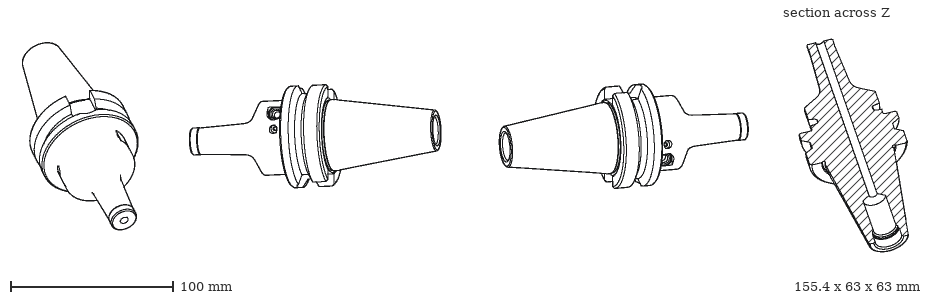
import cadquery as cq
import math

total_length = 155.4

taper_slope = 7 / 48
taper_length = 65.1
taper_big_radius = 22.15
taper_small_radius = taper_big_radius - taper_length * taper_slope
taper_end_chamfer = 0.6
undercut_start = 66.0
undercut_radius = 43.5 / 2
undercut_run = 0.5

flange_radius = 63.0 / 2
flange_front = 67.1
flange_back = 92.3
flange_front_chamfer = 1.2
flange_back_chamfer = 1.0
groove_start = 76.8
groove_end = 86.5
groove_radius = 26.5
groove_wall_angle = 30.0
groove_wall_run = (flange_radius - groove_radius) * math.tan(math.radians(groove_wall_angle))
face_recess_radius = 24.0
face_recess_depth = 0.5
face_recess_flare = 0.6

slot_width = 16.0
slot_end = 88.5
slot_floor = 22.7

body_radius = 45.8 / 2
body_root_fillet = 1.0
body_end = 110.0
body_edge_fillet = 1.0
shoulder_angle = 60.0
shank_start_radius = 10.0
shoulder_run = (body_radius - shank_start_radius) / math.tan(math.radians(shoulder_angle))
shank_start = body_end + shoulder_run
shoulder_fillet = 8.1
nose_start = 150.1
nose_radius = 8.4
shank_end_radius = 8.2
nose_step = 0.5
nose_chamfer = 0.8

mouth_radius = 9.5
entry_radius = 17.0 / 2
entry_depth = 7.0
thread_radius = 16.0 / 2
thread_start = 8.5
thread_chamfer = 1.0
thread_end = 32.6
core_radius = 14.3 / 2
channel_radius = 5.0 / 2
drill_point_half_angle = 59.0
drill_point_run = (core_radius - channel_radius) / math.tan(math.radians(drill_point_half_angle))

side_x = 98.2
pocket_width = 9.6
pocket_z = -12.0
pocket_floor = 16.2
seat_radius = 9.0 / 2
seat_bottom_radius = 8.4 / 2
seat_depth = 0.6
socket_rim_radius = 3.3
socket_rim_depth = 0.8
socket_radius = 2.5
socket_bottom_radius = 2.0
socket_depth = 3.1
socket_tip_depth = 1.2
side_hole_z = -1.0
side_hole_radius = 2.5
side_hole_depth = 4.7
side_pilot_radius = 1.17
side_pilot_depth = 2.3
side_hole_tilt = 15.0


def revolve(points):
    """Solid of revolution about X from (x, radius) points; closes along the axis."""
    outline = [(points[0][0], 0)] + points + [(points[-1][0], 0)]
    return cq.Workplane("XY").polyline(outline).close().revolve(360, (0, 0, 0), (1, 0, 0))


def make_blank():
    """Turned outer shape of the holder."""
    blank = revolve([
        (0, taper_small_radius - taper_end_chamfer),
        (taper_end_chamfer, taper_small_radius + taper_end_chamfer * taper_slope),
        (taper_length, taper_big_radius),
        (undercut_start, taper_big_radius),
        (undercut_start + undercut_run, undercut_radius),
        (flange_front + face_recess_depth, undercut_radius),
        (flange_front + face_recess_depth, face_recess_radius - face_recess_flare),
        (flange_front, face_recess_radius),
        (flange_front, flange_radius - flange_front_chamfer),
        (flange_front + flange_front_chamfer, flange_radius),
        (groove_start, flange_radius),
        (groove_start + groove_wall_run, groove_radius),
        (groove_end - groove_wall_run, groove_radius),
        (groove_end, flange_radius),
        (flange_back - flange_back_chamfer, flange_radius),
        (flange_back, flange_radius - flange_back_chamfer),
        (flange_back, body_radius),
        (body_end, body_radius),
        (shank_start, shank_start_radius),
        (nose_start, shank_end_radius),
        (nose_start + nose_step, nose_radius),
        (total_length - nose_chamfer, nose_radius),
        (total_length, nose_radius - nose_chamfer),
    ])
    blank = fillet_circle(blank, flange_back, body_radius, body_root_fillet)
    blank = fillet_circle(blank, body_end, body_radius, body_edge_fillet)
    return fillet_circle(blank, shank_start, shank_start_radius, shoulder_fillet)


def fillet_circle(solid, x, radius, fillet_radius):
    """Round the circular edge of the given radius at position x."""
    margin = 0.08
    reach = radius + margin
    low_corner = (x - margin, -reach, -reach)
    high_corner = (x + margin, reach, reach)
    circle_box = cq.selectors.BoxSelector(low_corner, high_corner, boundingbox=True)
    return solid.edges(circle_box).fillet(fillet_radius)


def make_bore():
    """Stepped pull-stud bore, drill point and coolant channel."""
    return revolve([
        (0, mouth_radius),
        (mouth_radius - entry_radius, entry_radius),
        (entry_depth, entry_radius),
        (entry_depth + entry_radius - thread_radius, thread_radius),
        (thread_start, thread_radius),
        (thread_start + thread_chamfer, core_radius),
        (thread_end, core_radius),
        (thread_end + drill_point_run, channel_radius),
        (total_length, channel_radius),
    ])


def make_drive_slot():
    """Round-ended slot above the axis, open toward the taper."""
    end_centre = slot_end - slot_width / 2
    slot_height = flange_radius - slot_floor
    straight = cq.Workplane("XY", origin=(taper_length, 0, slot_floor)).box(
        end_centre - taper_length, slot_width, slot_height, centered=(False, True, False))
    end_plane = cq.Workplane("XY", origin=(end_centre, 0, slot_floor))
    rounded = end_plane.circle(slot_width / 2).extrude(slot_height)
    return straight.union(rounded)


def round_cut(y, z, radius, depth):
    """Cylinder that starts at y on the -Y side and runs inward along +Y."""
    return cq.Workplane("XZ", origin=(side_x, y, z)).circle(radius).extrude(-depth)


def cone_cut(y, z, radius, bottom_radius, depth):
    """Cone that starts at y on the -Y side and narrows inward along +Y."""
    start = cq.Vector(side_x, y, z)
    return cq.Workplane(cq.Solid.makeCone(radius, bottom_radius, depth, pnt=start, dir=cq.Vector(0, 1, 0)))


def make_screw_pocket():
    """U-shaped pocket, open downward, with a screw seat and socket in its floor."""
    pocket_height = body_radius - pocket_floor
    rounded = round_cut(-body_radius, pocket_z, pocket_width / 2, pocket_height)
    opening = cq.Workplane("XY", origin=(side_x, -body_radius, pocket_z - body_radius)).box(
        pocket_width, pocket_height, body_radius, centered=(True, False, False))
    seat = cone_cut(-pocket_floor, pocket_z, seat_radius, seat_bottom_radius, seat_depth)
    rim_top = seat_depth - pocket_floor
    rim = cone_cut(rim_top, pocket_z, socket_rim_radius, socket_radius, socket_rim_depth)
    socket_top = rim_top + socket_rim_depth
    socket = cone_cut(socket_top, pocket_z, socket_radius, socket_bottom_radius, socket_depth)
    tip = cone_cut(socket_top + socket_depth, pocket_z, socket_bottom_radius, 0, socket_tip_depth)
    return rounded.union(opening).union(seat).union(rim).union(socket).union(tip)


def make_side_hole():
    """Stepped blind hole just below the axis height, dipping as it goes inward."""
    cut_length = flange_radius - body_radius + side_hole_depth
    hole = round_cut(-flange_radius, side_hole_z, side_hole_radius, cut_length)
    pilot = round_cut(side_hole_depth - body_radius, side_hole_z, side_pilot_radius, side_pilot_depth)
    pivot_start = (0, -body_radius, side_hole_z)
    pivot_end = (total_length, -body_radius, side_hole_z)
    return hole.union(pilot).rotate(pivot_start, pivot_end, -side_hole_tilt)


result = make_blank().cut(make_bore())

for cutter in (make_drive_slot(), make_screw_pocket(), make_side_hole()):
    for angle in (0, 180):
        result = result.cut(cutter.rotate((0, 0, 0), (1, 0, 0), angle))